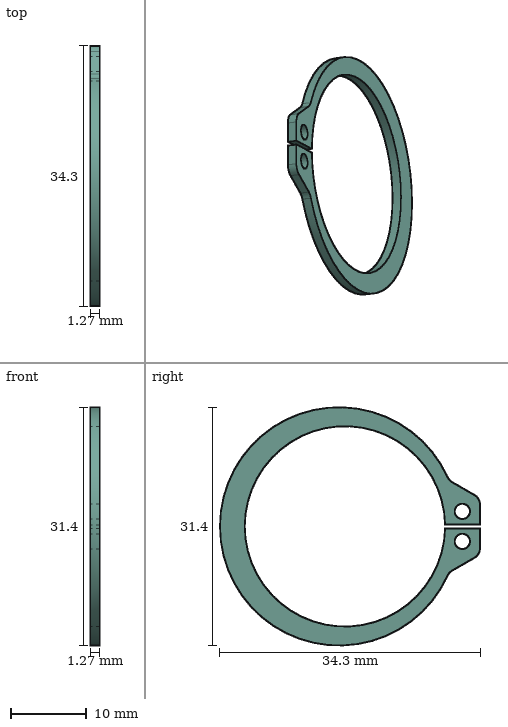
import cadquery as cq
import math

thickness = 1.27
outer_radius = 15.72
bore_radius = 13.19
bore_offset = 0.77

overall_length = 34.31
lug_end_y = overall_length - outer_radius
lug_corner_z = 3.72
flank_angle = math.radians(30)
lug_fillet = 1.5
gap_width = 0.5

hole_diameter = 1.98
hole_y = 16.25
hole_z = 1.98


def disc(radius, centre_y, centre_z=0):
    """Round plate of the ring's thickness."""
    return cq.Workplane("YZ").center(centre_y, centre_z).circle(radius).extrude(thickness)


def lug_blank():
    """Both lugs as one tapered block whose wide root is buried inside the outer disc."""
    root_y = outer_radius / 2
    root_z = lug_corner_z + (lug_end_y - root_y) * math.tan(flank_angle)
    outline = [
        (root_y, -root_z),
        (lug_end_y, -lug_corner_z),
        (lug_end_y, lug_corner_z),
        (root_y, root_z),
    ]
    return cq.Workplane("YZ").polyline(outline).close().extrude(thickness)


def round_lugs(blank):
    """Round the outer lug corners and blend the flanks into the rim."""
    lug_side = cq.selectors.BoxSelector(
        (0, outer_radius / 2, -outer_radius),
        (thickness, lug_end_y + lug_fillet, outer_radius),
    )
    return blank.edges("|X").edges(lug_side).fillet(lug_fillet)


def slit():
    """Gap that separates the lugs, from inside the bore to the lug ends."""
    return (
        cq.Workplane("YZ")
        .center(lug_end_y / 2, 0)
        .rect(lug_end_y, gap_width)
        .extrude(thickness)
    )


result = round_lugs(disc(outer_radius, 0).union(lug_blank()))
result = result.cut(disc(bore_radius, bore_offset))
result = result.cut(slit())
for side in (1, -1):
    result = result.cut(disc(hole_diameter / 2, hole_y, side * hole_z))